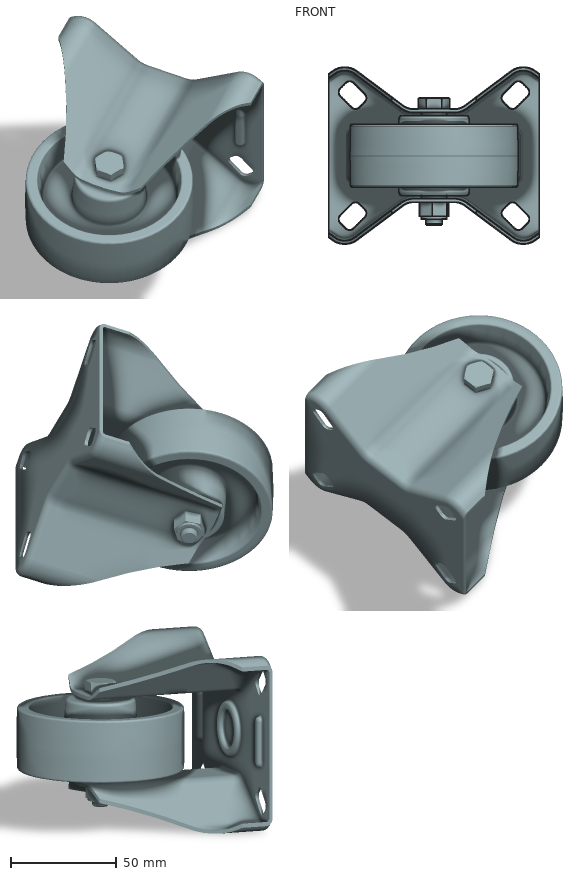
import cadquery as cq
import math


PLATE_WIDTH = 100.0
PLATE_HEIGHT = 84.0
AXLE_OFFSET = 68.0
WHEEL_RADIUS = 40.0
SHEET = 1.6
LEG_GAP = 41.0

LEG_ANGLE = math.radians(36.7)
VALLEY_HALF_WIDTH = 9.8
VALLEY_RADIUS = 8.1
RIDGE_RADIUS = 9.6
FOLD_RADIUS = 3.0
INNER_FOLD_RADIUS = 1.4

LEG_SIDE_DEPTH = 15.3
LEG_SIDE_MIDDLE = (32.1, 21.7)
LEG_TIP_CORNER = (20.0, -8.4)
LEG_TIP_Y = -11.4

SLOT_X = 38.7
SLOT_Z = 28.7
SLOT_LENGTH = 12.7
SLOT_WIDTH = 8.9
SLOT_CORNER = 2.7
BEAD_HEIGHT = 2.4
BEAD_FLAT = 1.1
BEAD_SHOULDER_RADIUS = 1.7
BEAD_FOOT_RADIUS = 0.9
BEAD_X = 38.5
BEAD_STRAIGHT = 19.9
BEAD_RING_RADIUS = 11.0

TREAD_WIDTH = 30.0
TREAD_EDGE_RADIUS = 39.6
TREAD_ROUND = 1.1
RIM_RADIUS = 34.2
RIM_FLOOR_RADIUS = 31.6
WEB_THICKNESS = 4.0
HUB_LENGTH = 38.0
HUB_TIP_RADIUS = 16.5
HUB_BASE_RADIUS = 17.9
HUB_ROUND = 1.5
RIM_ROUND = 0.9
WEB_ROUND = 1.3

BOLT_DIAMETER = 8.0
SLEEVE_DIAMETER = 12.1
HEX_FLATS = 13.0
HEAD_HEIGHT = 5.3
HEAD_ROUND_RADIUS = 6.7
HEAD_BEVEL = math.radians(30)
NUT_HEIGHT = 6.7
NUT_ANGLE = 23.0
COLLAR_DIAMETER = 12.3
COLLAR_HEIGHT = 1.3
BOLT_END_Z = -32.9
BOLT_END_CHAMFER = 0.6

PLATE_FRONT_Y = AXLE_OFFSET - SHEET
LEG_INNER_Z = LEG_GAP / 2
LEG_OUTER_Z = LEG_INNER_Z + SHEET
HEX_CORNERS = HEX_FLATS / math.cos(math.radians(30))
CUT_MARGIN = 5.4
BEND_SEARCH = 1.1


def folded_block(inset, half_width, back_y):
    """Prism along Y with the folded leg profile, moved inwards by inset."""
    slope = math.tan(LEG_ANGLE)
    half_tan = math.tan(LEG_ANGLE / 2)
    valley_radius = VALLEY_RADIUS + inset
    ridge_radius = RIDGE_RADIUS - inset
    valley = (VALLEY_HALF_WIDTH + valley_radius * half_tan, LEG_OUTER_Z - inset)
    ridge_top = PLATE_HEIGHT / 2 - inset
    ridge_z = ridge_top + ridge_radius * (1 / math.cos(LEG_ANGLE) - 1)
    ridge = (valley[0] + (ridge_z - valley[1]) / slope, ridge_z)
    side = (half_width, ridge_z - (half_width - ridge[0]) * slope)

    quarter = [side, ridge, valley]
    upper = quarter + [(-x, z) for x, z in reversed(quarter)]
    lower = [(x, -z) for x, z in reversed(upper)]
    block = (
        cq.Workplane("XZ", origin=(0, back_y, 0))
        .polyline(upper + lower).close()
        .extrude(back_y - LEG_TIP_Y + CUT_MARGIN)
    )
    for corner, radius in ((valley, valley_radius), (ridge, ridge_radius)):
        for x in (-corner[0], corner[0]):
            for z in (-corner[1], corner[1]):
                bend = cq.selectors.BoxSelector(
                    (x - BEND_SEARCH, LEG_TIP_Y - CUT_MARGIN, z - BEND_SEARCH),
                    (x + BEND_SEARCH, back_y, z + BEND_SEARCH),
                )
                block = block.edges("|Y").edges(bend).fillet(radius)
    return block


def folded_sheet():
    """Plate and both legs before the outline, slots and beads are added."""
    outside = folded_block(0, PLATE_WIDTH / 2, AXLE_OFFSET)
    outside = outside.faces(">Y").edges("not |Z").fillet(FOLD_RADIUS)
    inside = folded_block(SHEET, PLATE_WIDTH / 2 + CUT_MARGIN, PLATE_FRONT_Y)
    inside = inside.faces(">Y").edges("not |Z").fillet(INNER_FOLD_RADIUS)
    return outside.cut(inside)


def leg_outline():
    """Prism along Z that trims the legs to their tapered, round-tipped shape."""
    half_width = PLATE_WIDTH / 2
    side_y = AXLE_OFFSET - LEG_SIDE_DEPTH
    middle_x, middle_y = LEG_SIDE_MIDDLE
    tip_x, tip_y = LEG_TIP_CORNER
    return (
        cq.Workplane("XY", origin=(0, 0, -PLATE_HEIGHT / 2))
        .moveTo(-half_width, AXLE_OFFSET)
        .lineTo(half_width, AXLE_OFFSET)
        .lineTo(half_width, side_y)
        .threePointArc((middle_x, middle_y), (tip_x, tip_y))
        .threePointArc((0, LEG_TIP_Y), (-tip_x, tip_y))
        .threePointArc((-middle_x, middle_y), (-half_width, side_y))
        .close()
        .extrude(PLATE_HEIGHT)
    )


def plate_slots():
    """Four rounded diagonal slots, each running from its plate corner towards the middle."""
    slots = cq.Workplane("XY")
    for side_x in (-1, 1):
        for side_z in (-1, 1):
            slot = (
                cq.Workplane("XY")
                .box(SLOT_LENGTH, 4 * SHEET, SLOT_WIDTH)
                .edges("|Y").fillet(SLOT_CORNER)
                .rotate((0, 0, 0), (0, 1, 0), -45 * side_x * side_z)
                .translate((SLOT_X * side_x, PLATE_FRONT_Y, SLOT_Z * side_z))
            )
            slots = slots.add(slot)
    return slots.combine()


def half_bead(center_x, side):
    """Half of the bead cross-section, on the +X (side 1) or -X (side -1) side of center_x.

    A narrow flat crown rounds over into a concave foot that meets the plate tangentially.
    """
    shoulder_height = BEAD_HEIGHT - BEAD_SHOULDER_RADIUS
    reach = BEAD_SHOULDER_RADIUS + BEAD_FOOT_RADIUS
    lean = math.asin((BEAD_FOOT_RADIUS - shoulder_height) / reach)
    half_flat = BEAD_FLAT / 2
    foot_x = half_flat + reach * math.cos(lean)
    half_turn = (math.pi / 2 - lean) / 2

    def on_shoulder(angle):
        x = half_flat + BEAD_SHOULDER_RADIUS * math.cos(angle)
        height = shoulder_height + BEAD_SHOULDER_RADIUS * math.sin(angle)
        return (center_x + side * x, PLATE_FRONT_Y - height)

    def on_foot(angle):
        x = foot_x - BEAD_FOOT_RADIUS * math.cos(angle)
        height = BEAD_FOOT_RADIUS - BEAD_FOOT_RADIUS * math.sin(angle)
        return (center_x + side * x, PLATE_FRONT_Y - height)

    return (
        cq.Workplane("XY")
        .moveTo(center_x, PLATE_FRONT_Y)
        .lineTo(center_x, PLATE_FRONT_Y - BEAD_HEIGHT)
        .lineTo(*on_shoulder(math.pi / 2))
        .threePointArc(on_shoulder(lean + half_turn), on_shoulder(lean))
        .threePointArc(on_foot(lean + half_turn), on_foot(math.pi / 2))
        .close()
    )


def straight_bead(center_x):
    """Upright bead with domed ends."""
    bead = half_bead(center_x, 1).extrude(BEAD_STRAIGHT)
    bead = bead.union(half_bead(center_x, -1).extrude(BEAD_STRAIGHT))
    dome = half_bead(center_x, 1).revolve(360, (center_x, 0, 0), (center_x, 1, 0))
    for z in (0, BEAD_STRAIGHT):
        bead = bead.union(dome.translate((0, 0, z)))
    return bead.translate((0, 0, -BEAD_STRAIGHT / 2))


def ring_bead():
    """Round bead in the middle of the plate."""
    outer = half_bead(BEAD_RING_RADIUS, 1).revolve(360, (0, 0, 0), (0, 1, 0))
    inner = half_bead(BEAD_RING_RADIUS, -1).revolve(360, (0, 0, 0), (0, 1, 0))
    return outer.union(inner)


def z_cylinder(diameter, start_z, end_z):
    """Cylinder on the wheel axis."""
    return cq.Workplane("XY").workplane(offset=start_z).circle(diameter / 2).extrude(end_z - start_z)


def make_bracket():
    bolt_hole = z_cylinder(BOLT_DIAMETER, -PLATE_HEIGHT, PLATE_HEIGHT)
    bracket = folded_sheet().intersect(leg_outline()).cut(plate_slots()).cut(bolt_hole)
    for x in (-BEAD_X, BEAD_X):
        bracket = bracket.union(straight_bead(x))
    return bracket.union(ring_bead())


class AxisCircle(cq.Selector):
    """Selects the circular edge of a given radius about the wheel axis at height z."""

    TOLERANCE = 0.01

    def __init__(self, radius, z):
        self.radius = radius
        self.z = z

    def matches(self, edge):
        if edge.geomType() != "CIRCLE":
            return False
        radius_error = abs(edge.radius() - self.radius)
        height_error = abs(edge.Center().z - self.z)
        return radius_error + height_error < self.TOLERANCE

    def filter(self, edges):
        return [edge for edge in edges if self.matches(edge)]


def make_wheel():
    """Crowned wheel with a thin web, pockets on both faces and a drafted hub."""
    half_tread = TREAD_WIDTH / 2
    half_web = WEB_THICKNESS / 2
    half_hub = HUB_LENGTH / 2
    crown_height = WHEEL_RADIUS - TREAD_EDGE_RADIUS
    crown_middle = (WHEEL_RADIUS - crown_height / 4, half_tread / 2)
    half = (
        cq.Workplane("XZ")
        .moveTo(SLEEVE_DIAMETER / 2, 0)
        .lineTo(SLEEVE_DIAMETER / 2, half_hub)
        .lineTo(HUB_TIP_RADIUS, half_hub)
        .lineTo(HUB_BASE_RADIUS, half_web)
        .lineTo(RIM_FLOOR_RADIUS, half_web)
        .lineTo(RIM_RADIUS, half_tread)
        .lineTo(TREAD_EDGE_RADIUS, half_tread)
        .threePointArc(crown_middle, (WHEEL_RADIUS, 0))
        .close()
        .revolve(360, (0, 0, 0), (0, 1, 0))
    )
    rounds = (
        (HUB_TIP_RADIUS, half_hub, HUB_ROUND),
        (HUB_BASE_RADIUS, half_web, WEB_ROUND),
        (RIM_FLOOR_RADIUS, half_web, WEB_ROUND),
        (RIM_RADIUS, half_tread, RIM_ROUND),
        (TREAD_EDGE_RADIUS, half_tread, TREAD_ROUND),
    )
    for radius, z, round_radius in rounds:
        half = half.edges(AxisCircle(radius, z)).fillet(round_radius)
    return half.union(half.mirror("XY"))


def make_sleeve():
    """Tube around the bolt, clamped between the legs; the wheel turns on it."""
    bore = z_cylinder(BOLT_DIAMETER, -LEG_INNER_Z, LEG_INNER_Z)
    return z_cylinder(SLEEVE_DIAMETER, -LEG_INNER_Z, LEG_INNER_Z).cut(bore)


def hexagon(start_z, height):
    """Hexagonal prism with two corners on the X axis."""
    return cq.Workplane("XY").workplane(offset=start_z).polygon(6, HEX_CORNERS).extrude(height)


def make_bolt():
    """Hexagon bolt through both legs, with its head on the upper one."""
    cone_base = HEAD_ROUND_RADIUS + HEAD_HEIGHT / math.tan(HEAD_BEVEL)
    cone = cq.Workplane(
        cq.Solid.makeCone(cone_base, HEAD_ROUND_RADIUS, HEAD_HEIGHT, pnt=cq.Vector(0, 0, LEG_OUTER_Z))
    )
    head = hexagon(LEG_OUTER_Z, HEAD_HEIGHT).intersect(cone)
    shank = z_cylinder(BOLT_DIAMETER, BOLT_END_Z, LEG_OUTER_Z).faces("<Z").chamfer(BOLT_END_CHAMFER)
    return head.union(shank)


def make_nut():
    """Lock nut under the lower leg, with a round collar at its free end."""
    hex_end = -LEG_OUTER_Z - NUT_HEIGHT
    collar_end = hex_end - COLLAR_HEIGHT
    body = hexagon(hex_end, NUT_HEIGHT).rotate((0, 0, 0), (0, 0, 1), NUT_ANGLE)
    collar = z_cylinder(COLLAR_DIAMETER, collar_end, hex_end)
    bore = z_cylinder(BOLT_DIAMETER, collar_end, -LEG_OUTER_Z)
    return body.union(collar).cut(bore)


bracket = make_bracket()
wheel = make_wheel()
sleeve = make_sleeve()
bolt = make_bolt()
nut = make_nut()
bodies = [bracket, wheel, sleeve, bolt, nut]
result = cq.Compound.makeCompound([body.solids().val() for body in bodies])